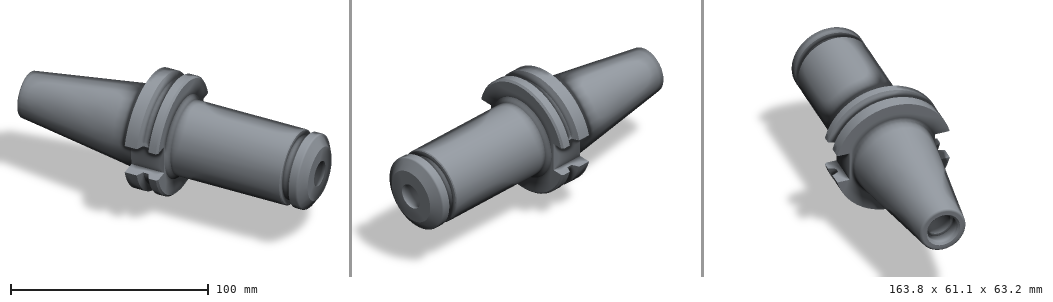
import cadquery as cq
import math

length = 163.8

taper_big_radius = 44.4 / 2
taper_length = 68.0
taper_slope = 7 / 48
nose_round = 1.3
taper_small_radius = taper_big_radius - taper_slope * taper_length

flange_start = 69.1
flange_root_round = 1.3
flange_end = 87.5
flange_radius = 31.6
flange_chamfer = 1.0
flange_root_radius = 23.6
vee_center = 79.1
vee_floor_width = 3.0
vee_mouth_width = 6.5
vee_floor_radius = 28.0

slot_width = 16.2
slot_length = 32.8
slot_floor_front = 22.6
slot_floor_back = 24.0

sleeve_radius = 40.0 / 2
shoulder_length = 2.3
ring_start = 151.0
ring_end = 155.5
ring_floor_radius = 33.9 / 2
ring_edge_chamfer = 0.5
bevel_length = 3.6
end_face_radius = 14.3
bevel_round = 1.1

bore_radius = 13.5 / 2
counterbore_radius = 16.2 / 2
counterbore_depth = 7.0
mouth_chamfer = 1.0


def revolve_about_x(profile):
    return profile.close().revolve(360, (0, 0, 0), (1, 0, 0))


def make_taper_and_flange():
    half_floor = vee_floor_width / 2
    half_mouth = vee_mouth_width / 2
    shoulder_end = flange_end + shoulder_length
    profile = (
        cq.Workplane("XY")
        .lineTo(0, taper_small_radius)
        .lineTo(taper_length, taper_big_radius)
        .radiusArc((flange_start, flange_root_radius), -flange_root_round)
        .lineTo(flange_start, flange_radius)
        .lineTo(vee_center - half_mouth, flange_radius)
        .lineTo(vee_center - half_floor, vee_floor_radius)
        .lineTo(vee_center + half_floor, vee_floor_radius)
        .lineTo(vee_center + half_mouth, flange_radius)
        .lineTo(flange_end - flange_chamfer, flange_radius)
        .lineTo(flange_end, flange_radius - flange_chamfer)
        .lineTo(flange_end, sleeve_radius + shoulder_length)
        .lineTo(shoulder_end, sleeve_radius)
        .lineTo(shoulder_end, 0)
    )
    return revolve_about_x(profile).faces("<X").edges().fillet(nose_round)


def make_sleeve():
    land_radius = sleeve_radius - ring_edge_chamfer
    bevel_start = length - bevel_length

    bevel_angle = math.atan2(sleeve_radius - end_face_radius, bevel_length)
    tangent_length = bevel_round * math.tan(bevel_angle / 2)
    round_start = bevel_start - tangent_length
    round_end_x = bevel_start + tangent_length * math.cos(bevel_angle)
    round_end_radius = sleeve_radius - tangent_length * math.sin(bevel_angle)

    profile = (
        cq.Workplane("XY")
        .moveTo(flange_end, 0)
        .lineTo(flange_end, sleeve_radius)
        .lineTo(ring_start - ring_edge_chamfer, sleeve_radius)
        .lineTo(ring_start, land_radius)
        .lineTo(ring_start, ring_floor_radius)
        .lineTo(ring_end, ring_floor_radius)
        .lineTo(ring_end, land_radius)
        .lineTo(ring_end + ring_edge_chamfer, sleeve_radius)
        .lineTo(round_start, sleeve_radius)
        .radiusArc((round_end_x, round_end_radius), bevel_round)
        .lineTo(length, end_face_radius)
        .lineTo(length, 0)
    )
    return revolve_about_x(profile)


def make_drive_slot(floor, side):
    """Box open outward in the Y direction given by side (+1 or -1)."""
    depth = flange_radius - floor
    return cq.Workplane("XY").box(slot_length, depth, slot_width).translate(
        ((flange_start + flange_end) / 2, side * (floor + depth / 2), 0)
    )


def make_bore():
    profile = (
        cq.Workplane("XY")
        .lineTo(0, counterbore_radius + mouth_chamfer)
        .lineTo(mouth_chamfer, counterbore_radius)
        .lineTo(counterbore_depth, counterbore_radius)
        .lineTo(counterbore_depth, bore_radius)
        .lineTo(length, bore_radius)
        .lineTo(length, 0)
    )
    return revolve_about_x(profile)


result = (
    make_taper_and_flange()
    .union(make_sleeve())
    .cut(make_drive_slot(slot_floor_front, -1))
    .cut(make_drive_slot(slot_floor_back, 1))
    .cut(make_bore())
)